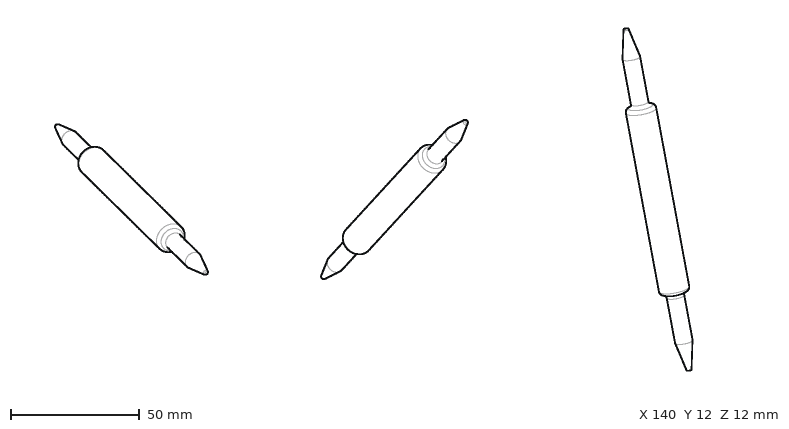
import cadquery as cq

total_length = 140.0
handle_diameter = 12.0
shaft_diameter = 7.0
tip_diameter = 2.0

cone_length = 11.9
shaft_length = 18.5
shoulder_length = 3.1

tip_round = 0.53

half_length = total_length / 2
handle_radius = handle_diameter / 2
shaft_radius = shaft_diameter / 2
tip_radius = tip_diameter / 2

cone_start = half_length - cone_length
shaft_start = cone_start - shaft_length
handle_end = shaft_start - shoulder_length

shoulder_mid = (shaft_start + handle_end) / 2
shoulder_mid_radius = (shaft_radius + handle_radius) / 2


profile = (
    cq.Workplane("XY")
    .moveTo(-half_length, 0)
    .lineTo(-half_length, tip_radius)
    .lineTo(-cone_start, shaft_radius)
    .lineTo(-shaft_start, shaft_radius)
    .tangentArcPoint((-shoulder_mid, shoulder_mid_radius), relative=False)
    .tangentArcPoint((-handle_end, handle_radius), relative=False)
    .lineTo(handle_end, handle_radius)
    .tangentArcPoint((shoulder_mid, shoulder_mid_radius), relative=False)
    .tangentArcPoint((shaft_start, shaft_radius), relative=False)
    .lineTo(cone_start, shaft_radius)
    .lineTo(half_length, tip_radius)
    .lineTo(half_length, 0)
    .close()
)
pin = profile.revolve(360, (0, 0, 0), (1, 0, 0))

result = pin.faces("<X or >X").edges().fillet(tip_round)